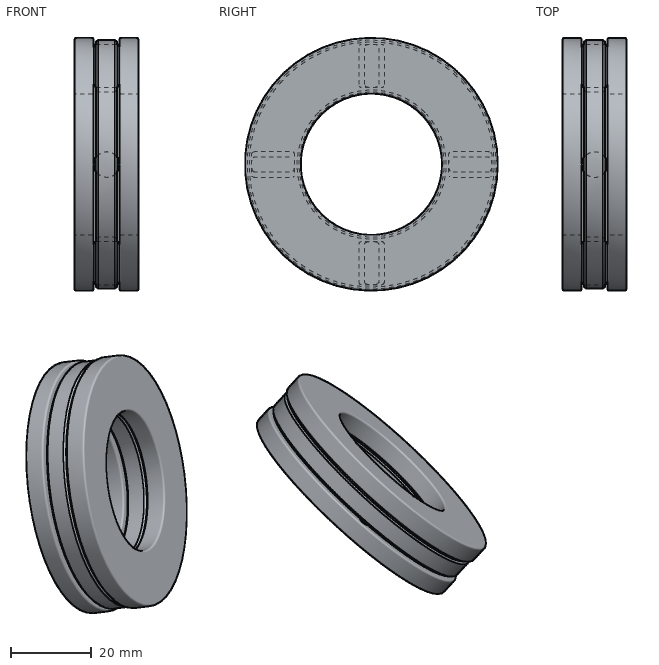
import cadquery as cq

outer_diameter = 62.7
bore_diameter = 34.9
total_width = 15.85
edge_size = 0.5

roller_diameter = 6.35
roller_inner_end = 19.05
roller_outer_end = 29.8
roller_edge_radius = 0.75
roller_count = 4

cage_radial_clearance = 0.5
cage_outer_diameter = outer_diameter - 2 * cage_radial_clearance
cage_bore_diameter = bore_diameter + 2 * cage_radial_clearance
cage_width = 5.2

washer_width = (total_width - roller_diameter) / 2


def make_ring(start_x, width, outside, bore):
    """Flat ring along X with square edges."""
    return (
        cq.Workplane("YZ", origin=(start_x, 0, 0))
        .circle(outside / 2)
        .circle(bore / 2)
        .extrude(width)
    )


def make_washer(start_x):
    """Flat washer with all four circular edges rounded."""
    washer = make_ring(start_x, washer_width, outer_diameter, bore_diameter)
    return washer.edges("%CIRCLE").fillet(edge_size)


def make_roller(angle):
    """Radial roller with rounded ends, turned about X from the +Z direction."""
    return (
        cq.Workplane("XY", origin=(0, 0, roller_inner_end))
        .circle(roller_diameter / 2)
        .extrude(roller_outer_end - roller_inner_end)
        .edges("%CIRCLE")
        .fillet(roller_edge_radius)
        .rotate((0, 0, 0), (1, 0, 0), angle)
    )


def make_cage(rollers):
    """Chamfered ring between the washers, with a close-fitting pocket for each roller."""
    cage = make_ring(-cage_width / 2, cage_width, cage_outer_diameter, cage_bore_diameter)
    cage = cage.edges("%CIRCLE").chamfer(edge_size)
    for roller in rollers:
        cage = cage.cut(roller)
    return cage


washers = [make_washer(start_x) for start_x in (-total_width / 2, roller_diameter / 2)]
rollers = [make_roller(index * 360 / roller_count) for index in range(roller_count)]
cage = make_cage(rollers)

result = cq.Compound.makeCompound(
    [washer.val() for washer in washers]
    + [cage.solids().val()]
    + [roller.val() for roller in rollers]
)